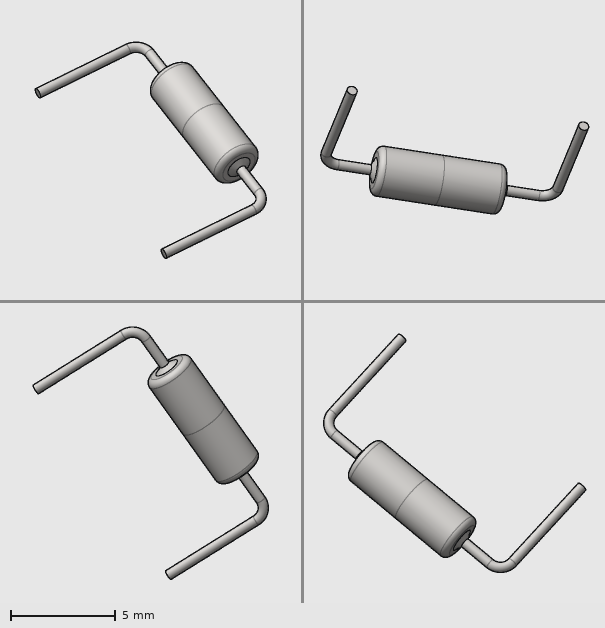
import cadquery as cq

overall_span = 11.94
body_diameter = 2.44
body_length = 6.33
body_edge_radius = 0.31
collar_base_diameter = 1.24
collar_length = 0.19
wire_diameter = 0.5
bend_radius = 0.76
lead_reach = 5.83

wire_radius = wire_diameter / 2
body_end = body_length / 2
leg_offset = overall_span / 2 - wire_radius
bend_start = leg_offset - bend_radius


def make_body():
    """Round body along X, centred on the origin, with rounded end rims."""
    body = cq.Workplane("YZ").circle(body_diameter / 2).extrude(body_end, both=True)
    return body.edges("%CIRCLE").fillet(body_edge_radius)


def make_collar():
    """Cone on the +X end of the body, tapering down to the wire."""
    return (
        cq.Workplane("XY")
        .moveTo(0, 0)
        .lineTo(body_end + collar_length, 0)
        .lineTo(body_end + collar_length, wire_radius)
        .lineTo(body_end, collar_base_diameter / 2)
        .lineTo(0, collar_base_diameter / 2)
        .close()
        .revolve(360, (0, 0, 0), (1, 0, 0))
    )


def make_lead():
    """Wire leaving the body along +X and bending toward -Y."""
    path = (
        cq.Workplane("XY")
        .lineTo(bend_start, 0)
        .tangentArcPoint((leg_offset, -bend_radius), relative=False)
        .lineTo(leg_offset, -lead_reach)
    )
    return cq.Workplane("YZ").circle(wire_radius).sweep(path)


end_parts = make_collar().union(make_lead())
result = make_body().union(end_parts).union(end_parts.mirror("YZ"))